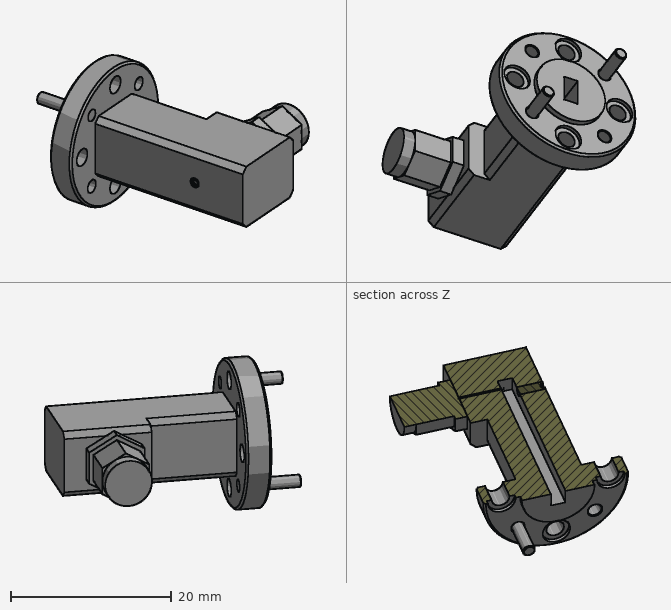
import cadquery as cq
import math


flange_diameter = 19.05
flange_thickness = 3.3
flange_chamfer = 0.28
boss_diameter = 9.53
boss_height = 0.74
bolt_circle_radius = 14.29 / 2
screw_hole_diameter = 2.3
counterbore_diameter = 3.59
counterbore_depth = 0.5
guide_hole_diameter = 1.75
guide_hole_angle = 45
hole_countersink = 0.1

pin_diameter = 1.59
pin_angle = 135
pin_projection = 4.62
pin_tip_chamfer = 0.12

block_height = 8.6
block_lower_y = -4.34
block_upper_y = 4.34
overall_length = 30.54
block_end_x = overall_length - pin_projection
raised_y = 6.54
raised_start_x = 14.72
block_chamfer = 0.77

guide_width = 3.76
guide_height = 1.88
guide_end_x = 21

connector_x = 19.56
base_hex_flats = 7.12
base_hex_height = 1.56
body_hex_flats = 6.0
body_hex_height = 4.98
collar_diameter = 6.0
overall_width = 24.15
connector_top_y = overall_width - flange_diameter / 2

probe_diameter = 0.15
probe_reach = 0.32

screw_x = 18.56
screw_diameter = 1.3
socket_diameter = 0.68
socket_chamfer = 0.08
socket_depth = 0.3
socket_point_angle = 118
socket_cone_height = socket_diameter / 2 / math.tan(math.radians(socket_point_angle / 2))


def rod_x(diameter, start_x, end_x, y=0, z=0):
    """Cylinder along X."""
    start = cq.Vector(start_x, y, z)
    solid = cq.Solid.makeCylinder(diameter / 2, end_x - start_x, start, cq.Vector(1, 0, 0))
    return cq.Workplane(obj=solid)


def rod_y(diameter, start_y, end_y, x):
    """Cylinder along Y in the plane Z = 0."""
    start = cq.Vector(x, start_y, 0)
    solid = cq.Solid.makeCylinder(diameter / 2, end_y - start_y, start, cq.Vector(0, 1, 0))
    return cq.Workplane(obj=solid)


def hexagon_y(flats, start_y, end_y):
    """Hexagonal prism along Y on the connector axis, with corners at top and bottom."""
    corner_diameter = flats / math.cos(math.pi / 6)
    return (
        cq.Workplane("XZ", origin=(connector_x, start_y, 0))
        .transformed(rotate=(0, 0, 90))
        .polygon(6, corner_diameter)
        .extrude(start_y - end_y)
    )


def bolt_circle_points(first_angle, count):
    """(y, z) places spread evenly round the bolt circle."""
    angles = [math.radians(first_angle + 360 * i / count) for i in range(count)]
    return [(bolt_circle_radius * math.cos(a), bolt_circle_radius * math.sin(a)) for a in angles]


screw_hole_points = bolt_circle_points(0, 4)
guide_hole_points = bolt_circle_points(guide_hole_angle, 2)
pin_points = bolt_circle_points(pin_angle, 2)


def make_flange():
    disc = rod_x(flange_diameter, 0, flange_thickness).edges().chamfer(flange_chamfer)
    return disc.union(rod_x(boss_diameter, -boss_height, flange_thickness))


def make_block():
    """L-shaped block, chamfered along X on its upper and lower outside edges."""
    block = (
        cq.Workplane("XY", origin=(0, 0, -block_height / 2))
        .moveTo(flange_thickness, block_lower_y)
        .lineTo(block_end_x, block_lower_y)
        .lineTo(block_end_x, raised_y)
        .lineTo(raised_start_x, raised_y)
        .lineTo(raised_start_x, block_upper_y)
        .lineTo(flange_thickness, block_upper_y)
        .close()
        .extrude(block_height)
    )
    return block.edges("|X").edges(">Z or <Z").chamfer(block_chamfer)


def cut_countersunk_hole(body, diameter, y, z):
    """Through hole in the flange with a small countersink at its front."""
    hole = rod_x(diameter, 0, flange_thickness, y, z)
    countersink = cq.Solid.makeCone(
        diameter / 2 + hole_countersink,
        diameter / 2,
        hole_countersink,
        cq.Vector(0, y, z),
        cq.Vector(1, 0, 0),
    )
    return body.cut(hole).cut(cq.Workplane(obj=countersink))


def cut_flange_holes(body):
    for y, z in screw_hole_points:
        body = body.cut(rod_x(screw_hole_diameter, 0, flange_thickness, y, z))
        body = body.cut(rod_x(counterbore_diameter, 0, counterbore_depth, y, z))
    for y, z in guide_hole_points:
        body = cut_countersunk_hole(body, guide_hole_diameter, y, z)
    for y, z in pin_points:
        body = cut_countersunk_hole(body, pin_diameter, y, z)
    return body


def make_housing():
    body = cut_flange_holes(make_flange().union(make_block()))
    guide_length = guide_end_x + boss_height
    guide = cq.Workplane("XY").box(guide_length, guide_height, guide_width, centered=(False, True, True))
    body = body.cut(guide.translate((-boss_height, 0, 0)))
    body = body.cut(rod_y(probe_diameter, 0, raised_y, connector_x))
    return body.cut(rod_y(screw_diameter, block_lower_y, 0, screw_x))


def make_pin(y, z):
    return rod_x(pin_diameter, -pin_projection, flange_thickness, y, z).faces("<X").chamfer(pin_tip_chamfer)


def make_connector():
    base_top_y = raised_y + base_hex_height
    body_top_y = base_top_y + body_hex_height
    connector = hexagon_y(base_hex_flats, raised_y, base_top_y)
    connector = connector.union(hexagon_y(body_hex_flats, base_top_y, body_top_y))
    return connector.union(rod_y(collar_diameter, body_top_y, connector_top_y, connector_x))


def make_probe():
    return rod_y(probe_diameter, guide_height / 2 - probe_reach, raised_y, connector_x)


def make_tuning_screw():
    """Screw flush with the block, with a chamfered, cone-bottomed socket in its outer end."""
    screw = rod_y(screw_diameter, block_lower_y, -guide_height / 2, screw_x)
    socket_bottom_y = block_lower_y + socket_depth
    cone = cq.Solid.makeCone(
        socket_diameter / 2,
        0,
        socket_cone_height,
        cq.Vector(screw_x, socket_bottom_y, 0),
        cq.Vector(0, 1, 0),
    )
    screw = screw.cut(rod_y(socket_diameter, block_lower_y, socket_bottom_y, screw_x))
    screw = screw.cut(cq.Workplane(obj=cone))
    return screw.faces("<Y").edges(cq.selectors.RadiusNthSelector(0)).chamfer(socket_chamfer)


housing = make_housing()
pins = [make_pin(y, z) for y, z in pin_points]
connector = make_connector()
probe = make_probe()
tuning_screw = make_tuning_screw()

result = cq.Compound.makeCompound(
    [
        housing.val(),
        *[pin.val() for pin in pins],
        connector.val(),
        probe.val(),
        tuning_screw.val(),
    ]
)